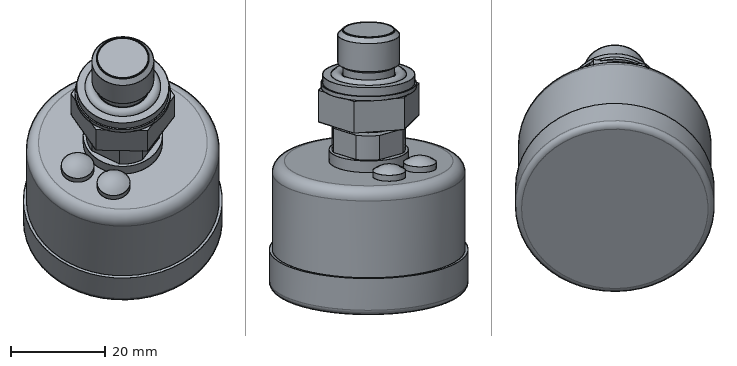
import cadquery as cq
import math

rim_radius = 21.1
rim_height = 8.35
rim_fillet = 1.3
body_radius = 20.45
body_top = 27.95
body_fillet = 2.6

collar_radius = 8.4
collar_top = 30.5
shank_across_flats = 13.95
shank_corner_radius = 7.8
shank_top = 35.9

nut_bottom = 37.4
nut_top = 44.4
nut_across_flats = 19.05
washer_radius = 10.1
washer_top = 45.3
seal_radius = 9.8
seal_top = 47.2

neck_radius = 5.5
thread_radius = 6.6
thread_bottom = 49.8
thread_relief_angle = 30
tip_edge_radius = 5.6
tip_step_radius = 5.4
tip_step_height = 0.2
total_height = 57.15

o_ring_outer_radius = 8.2
o_ring_top = 47.95

plug_radius = 3.5
plug_offset_x = 4.45
plug_y = -11.1
plug_edge_height = 1.3
plug_dome_height = 1.25


def disc(radius, bottom, top):
    return cq.Workplane("XY").workplane(offset=bottom).circle(radius).extrude(top - bottom)


def make_housing():
    rim = disc(rim_radius, 0, rim_height).faces("<Z").edges().fillet(rim_fillet)
    body = disc(body_radius, rim_height, body_top).faces(">Z").edges().fillet(body_fillet)
    return rim.union(body)


def make_shank():
    square = (
        cq.Workplane("XY")
        .workplane(offset=collar_top)
        .rect(shank_across_flats, shank_across_flats)
        .extrude(shank_top - collar_top)
    )
    return square.intersect(disc(shank_corner_radius, collar_top, shank_top))


def make_nut():
    across_corners = nut_across_flats / math.cos(math.radians(30))
    return (
        cq.Workplane("XY")
        .workplane(offset=nut_bottom)
        .transformed(rotate=(0, 0, 90))
        .polygon(6, across_corners)
        .extrude(nut_top - nut_bottom)
    )


def make_threaded_end():
    thread_depth = thread_radius - neck_radius
    tip_chamfer = thread_radius - tip_edge_radius
    relief_height = thread_depth * math.tan(math.radians(thread_relief_angle))
    shoulder = total_height - tip_step_height
    profile = [
        (0, shank_top),
        (neck_radius, shank_top),
        (neck_radius, thread_bottom - relief_height),
        (thread_radius, thread_bottom),
        (thread_radius, shoulder - tip_chamfer),
        (tip_edge_radius, shoulder),
        (tip_step_radius, shoulder),
        (tip_step_radius, total_height),
        (0, total_height),
    ]
    return cq.Workplane("XZ").polyline(profile).close().revolve(360, (0, 0, 0), (0, 1, 0))


def make_o_ring():
    section_radius = (o_ring_outer_radius - neck_radius) / 2
    centre_radius = neck_radius + section_radius
    return (
        cq.Workplane("XZ")
        .center(centre_radius, o_ring_top - section_radius)
        .circle(section_radius)
        .revolve(360, (-centre_radius, 0, 0), (-centre_radius, 1, 0))
    )


def make_plug(x):
    edge_z = body_top + plug_edge_height
    crown_z = edge_z + plug_dome_height
    dome_radius = (plug_radius**2 + plug_dome_height**2) / (2 * plug_dome_height)
    dome = cq.Workplane("XY").sphere(dome_radius).translate((0, 0, crown_z - dome_radius))
    return disc(plug_radius, body_top, crown_z).intersect(dome).translate((x, plug_y, 0))


result = (
    make_housing()
    .union(disc(collar_radius, body_top, collar_top))
    .union(make_shank())
    .union(make_threaded_end())
    .union(make_nut())
    .union(disc(washer_radius, nut_top, washer_top))
    .union(disc(seal_radius, washer_top, seal_top))
    .union(make_o_ring())
)
for plug_x in (-plug_offset_x, plug_offset_x):
    result = result.union(make_plug(plug_x))